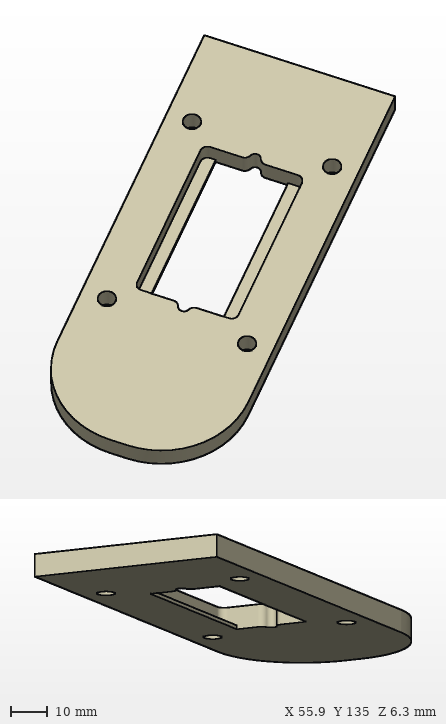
import cadquery as cq
import math

plate_width = 55.9
plate_length = 135.0
plate_thickness = 6.3
end_radius = 25.4

window_centre_from_end = 59.8
window_centre_y = plate_length / 2 - window_centre_from_end
window_width = 29.7
window_length = 51.3
window_corner_radius = 2.0

ledge_thickness = 1.1
left_ledge_width = 3.6
right_ledge_width = 4.9

notch_radius = 1.6
notch_mouth_radius = 2.0
notch_depth = 2.4

hole_diameter = 5.0
hole_spacing_x = 41.0
hole_spacing_y = 63.5


def make_plate():
    plate = cq.Workplane("XY").box(plate_width, plate_length, plate_thickness, centered=(True, True, False))
    return plate.edges("|Z and <Y").fillet(end_radius)


def make_window():
    """Opening above the ledges, joined to the narrower opening between them."""
    upper = (
        cq.Workplane("XY", origin=(0, window_centre_y, ledge_thickness))
        .rect(window_width, window_length)
        .extrude(plate_thickness - ledge_thickness)
        .edges("|Z")
        .fillet(window_corner_radius)
    )
    gap_width = window_width - left_ledge_width - right_ledge_width
    gap_centre_x = (left_ledge_width - right_ledge_width) / 2
    gap = (
        cq.Workplane("XY", origin=(gap_centre_x, window_centre_y, 0))
        .rect(gap_width, window_length)
        .extrude(plate_thickness)
    )
    return upper.union(gap)


def make_notch(side):
    """Notch with a rounded mouth; side is +1 for the +Y edge, -1 for the -Y edge."""
    edge_y = window_centre_y + side * window_length / 2
    centre_distance = notch_radius + notch_mouth_radius
    end_centre_depth = notch_depth - notch_radius
    mouth_half_width = math.sqrt(centre_distance**2 - (notch_mouth_radius - end_centre_depth) ** 2)
    end_share = notch_radius / centre_distance
    meet_x = end_share * mouth_half_width
    meet_depth = end_centre_depth + end_share * (notch_mouth_radius - end_centre_depth)
    meet_y = edge_y + side * meet_depth
    return (
        cq.Workplane("XY")
        .moveTo(-mouth_half_width, edge_y)
        .radiusArc((-meet_x, meet_y), -side * notch_mouth_radius)
        .threePointArc((0, edge_y + side * notch_depth), (meet_x, meet_y))
        .radiusArc((mouth_half_width, edge_y), -side * notch_mouth_radius)
        .close()
        .extrude(plate_thickness)
    )


def make_screw_holes():
    return (
        cq.Workplane("XY", origin=(0, window_centre_y, 0))
        .rect(hole_spacing_x, hole_spacing_y, forConstruction=True)
        .vertices()
        .circle(hole_diameter / 2)
        .extrude(plate_thickness)
    )


result = make_plate().cut(make_window()).cut(make_screw_holes())
for side in (1, -1):
    result = result.cut(make_notch(side))